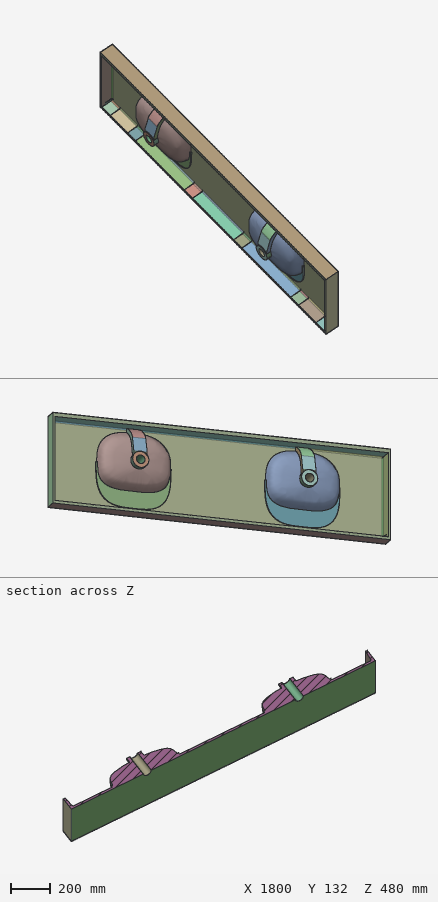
import math

import cadquery as cq


LENGTH = 1800
HEIGHT = 480
TRAY_DEPTH = 80
FLOOR_THICKNESS = 15
FLOOR_Y = -FLOOR_THICKNESS
EMBED_Y = FLOOR_Y + 5
RIM_Y = -TRAY_DEPTH
RIM_SIDE = 12
RIM_TOP = 21
RIM_BOTTOM = 15
DRAFT_SIDE = 6
DRAFT_TOP = 4
DRAFT_BOTTOM = 5
FLOOR_FILLET = 7
OUTER_FILLET = 2

PADS = ((197, 66), (650, 63), (853, 66))

BASIN_X = LENGTH / 4
DRAIN_Z = 24
UPPER_EXPONENT = 2.7
LOWER_EXPONENT = 3.2
BOWL_POINTS = 32
BOWL_SECTIONS = (
    (EMBED_Y, 198, 176, 139),
    (-45, 189, 155, 130),
    (RIM_Y, 166, 119, 106),
    (-95, 112, 80, 72),
    (-100, 85, 60, 57),
    (-102, 34, 32, 32),
)

LEDGE_REACH = 225
LEDGE_EDGE = 3
LEDGE_RISE = 10
LEDGE_HALF_WIDTH = 200
WEDGE_MARGIN = 20

BOSS_END_Y = -132.03
BOSS_DIAMETER = 86
HOLE_DIAMETER = 45

CHANNEL_WIDTH = 71
CHANNEL_START_Z = 222
CHANNEL_START_DIRECTION = (-1, -0.4)
CHANNEL_SHOULDER_Z = 180
CHANNEL_BEND = (-106, 145)
CHANNEL_END = (-128, 66)


def rectangle_at(y, side, top, bottom):
    """Wire of the tray opening at depth y, inset from the outer edges."""
    x = LENGTH / 2 - side
    upper = HEIGHT / 2 - top
    lower = bottom - HEIGHT / 2
    corners = [(-x, y, lower), (x, y, lower), (x, y, upper), (-x, y, upper)]
    return cq.Wire.makePolygon([cq.Vector(*c) for c in corners], close=True)


def tray_cavity():
    """Drafted opening with a rounded floor edge."""
    rim = rectangle_at(RIM_Y, RIM_SIDE, RIM_TOP, RIM_BOTTOM)
    floor = rectangle_at(
        FLOOR_Y, RIM_SIDE + DRAFT_SIDE, RIM_TOP + DRAFT_TOP, RIM_BOTTOM + DRAFT_BOTTOM
    )
    cavity = cq.Workplane(cq.Solid.makeLoft([rim, floor], True))
    return cavity.faces(">Y").edges().fillet(FLOOR_FILLET)


def pad_cavity(center, width):
    """Straight-walled cut that removes the draft of the bottom wall over one pad."""
    depth = FLOOR_Y - RIM_Y
    reach = DRAFT_BOTTOM + 2 * FLOOR_FILLET
    pad = cq.Workplane().box(width, depth, reach, centered=(True, False, False))
    pad = pad.edges(">Y and <Z").fillet(FLOOR_FILLET)
    return pad.translate((center, RIM_Y, RIM_BOTTOM - HEIGHT / 2))


def tray():
    body = cq.Workplane().box(LENGTH, TRAY_DEPTH, HEIGHT).translate((0, -TRAY_DEPTH / 2, 0))
    body = body.faces(">Y").edges().fillet(OUTER_FILLET)
    body = body.cut(tray_cavity())
    for center, width in PADS:
        for side in (-1, 1):
            body = body.cut(pad_cavity(side * center, width))
    return body


def rounded_outline(y, half_width, above, below):
    """Superellipse wire at depth y, centred on the drain, with unequal upper and lower halves."""
    points = []
    for i in range(BOWL_POINTS):
        angle = 2 * math.pi * i / BOWL_POINTS
        c = math.cos(angle)
        s = math.sin(angle)
        half_height = above if s > 0 else below
        exponent = UPPER_EXPONENT if s > 0 else LOWER_EXPONENT
        radius = (abs(c) ** exponent + abs(s) ** exponent) ** (-1 / exponent)
        points.append(cq.Vector(half_width * radius * c, y, half_height * radius * s))
    return cq.Wire.assembleEdges([cq.Edge.makeSpline(points, periodic=True)])


def bowl():
    wires = [rounded_outline(*section) for section in BOWL_SECTIONS]
    return cq.Workplane(cq.Solid.makeLoft(wires))


def ledge():
    """Low plate below the bowl, rising gently from its lower end towards the drain."""
    reach_up = BOWL_SECTIONS[0][2]
    sections = (EMBED_Y, FLOOR_Y - LEDGE_RISE)
    wires = [rounded_outline(y, LEDGE_HALF_WIDTH, reach_up, LEDGE_REACH) for y in sections]
    plate = cq.Workplane(cq.Solid.makeLoft(wires, True))
    wedge_reach = LEDGE_REACH + WEDGE_MARGIN
    wedge = (
        cq.Workplane("YZ")
        .polyline([
            (EMBED_Y, 0),
            (FLOOR_Y - LEDGE_RISE, 0),
            (FLOOR_Y - LEDGE_EDGE, -wedge_reach),
            (EMBED_Y, -wedge_reach),
        ])
        .close()
        .extrude(wedge_reach, both=True)
    )
    return plate.intersect(wedge)


def drain_boss():
    length = EMBED_Y - BOSS_END_Y
    return cq.Workplane("XZ", origin=(0, EMBED_Y, 0)).circle(BOSS_DIAMETER / 2).extrude(length)


def overflow_channel():
    """Raised duct with a curved shoulder and a straight slope down to the drain boss."""
    bend_y, bend_z = CHANNEL_BEND
    end_y, end_z = CHANNEL_END
    slope = (end_y - bend_y, end_z - bend_z)
    return (
        cq.Workplane("YZ", origin=(-CHANNEL_WIDTH / 2, 0, -DRAIN_Z))
        .moveTo(EMBED_Y, DRAIN_Z)
        .lineTo(EMBED_Y, CHANNEL_START_Z)
        .spline(
            [(RIM_Y, CHANNEL_SHOULDER_Z), CHANNEL_BEND],
            tangents=[CHANNEL_START_DIRECTION, slope],
            includeCurrent=True,
        )
        .lineTo(end_y, end_z)
        .lineTo(end_y, DRAIN_Z)
        .close()
        .extrude(CHANNEL_WIDTH)
    )


def basin():
    return bowl().union(ledge()).union(drain_boss()).union(overflow_channel())


def drain_hole():
    return cq.Workplane("XZ").circle(HOLE_DIAMETER / 2).extrude(-BOSS_END_Y)


result = tray()
single_basin = basin()
for basin_x in (-BASIN_X, BASIN_X):
    position = (basin_x, 0, DRAIN_Z)
    result = result.union(single_basin.translate(position))
    result = result.cut(drain_hole().translate(position))